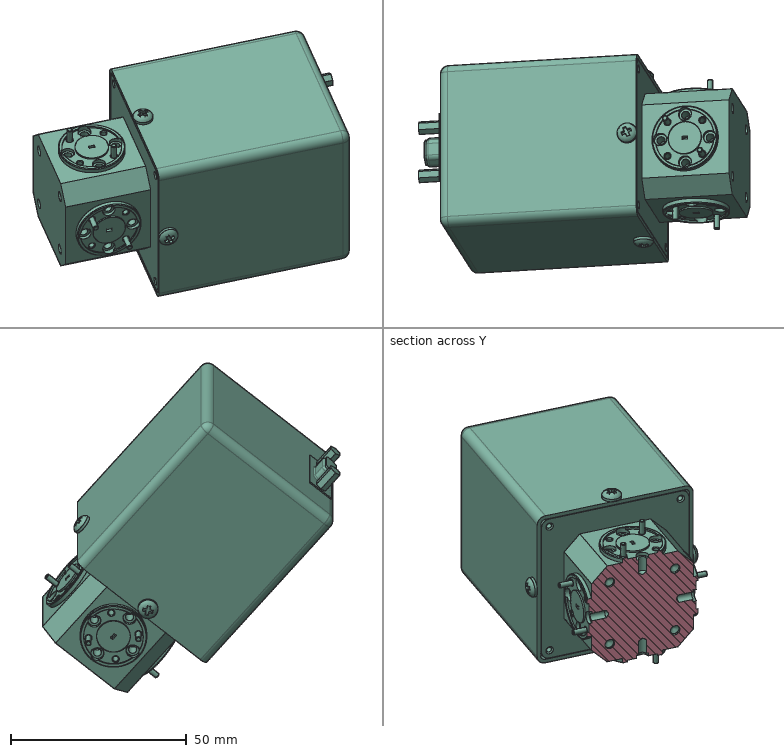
import cadquery as cq
import math

SIDES = (0, 90, 180, 270)

overall_length = 89.37

BOLT_ANGLES = (0, 90, 180, 270)
DOWEL_ANGLES = (45, 225)
DOWEL_HOLE_ANGLES = (135, 315)

cover_size = 48.26
cover_length = 57.25
cover_radius = 2.5
wall = 1.15
cavity_radius = cover_radius - wall

plate_gap = 0.2
plate_size = cover_size - 2 * (wall + plate_gap)
plate_thickness = 5.0
plate_radius = 2.3
plate_hole_diameter = 1.5
plate_hole_chamfer = 0.4
plate_hole_spacing = 40.6

block_size = 31.6
block_length = 25.3
block_chamfer = 4.85
mount_hole_diameter = 2.8
mount_hole_spacing = 20.2
mount_hole_depth = 6.0
drill_point_angle = 118

flange_y = -12.7
flange_diameter = 19.05
flange_height = 1.4
flange_chamfer = 0.25
flange_recess_depth = 0.5
recess_outer_diameter = 17.0
recess_inner_diameter = 9.6
bolt_circle_radius = 7.14
flange_bolt_diameter = 2.3
flange_bolt_depth = 6.0
counterbore_diameter = 3.7
counterbore_depth = 1.5
dowel_diameter = 1.56
dowel_length = 3.5
dowel_chamfer = 0.2
dowel_hole_diameter = 1.6
dowel_hole_chamfer = 0.25
dowel_hole_depth = 4.0
waveguide_width = 0.83
waveguide_length = 1.65
waveguide_depth = 1.5

screw_y = 2.55
screw_head_diameter = 5.7
screw_head_height = 1.96
screw_head_band = 0.8
screw_top_diameter = 2.0
screw_shank_diameter = 2.8
screw_shank_length = 6.0
cross_length = 2.9
cross_width = 0.9
cross_depth = 1.0
cross_angle = 25

connector_x = -18.05
connector_flange_width = 8.0
connector_flange_length = 19.8
connector_flange_thickness = 0.35
shell_corner_radius = 1.55
shell_core_depth = 1.64
shell_core_narrow = 3.44
shell_core_wide = 5.44
shell_shoulder = 4.6
shell_edge_radius = 0.8
shell_base_radius = 0.35
insert_inset = 0.5
connector_height = 5.1
post_spacing = 14.4
post_across_flats = 3.3
post_height = overall_length - block_length - cover_length - connector_flange_thickness


def square_bar(size, y_start, y_end):
    """A square bar centred on the Y axis."""
    return cq.Workplane("XY").box(size, y_end - y_start, size).translate((0, (y_start + y_end) / 2, 0))


def square_pattern(spacing):
    half = spacing / 2
    return [(x, z) for x in (-half, half) for z in (-half, half)]


def drilled_hole(diameter, depth):
    """A round cutter along -Z from Z = 0, ending in a drill point."""
    radius = diameter / 2
    point = radius / math.tan(math.radians(drill_point_angle / 2))
    return (
        cq.Workplane("XZ")
        .polyline([(0, 0), (radius, 0), (radius, -depth), (0, -depth - point)])
        .close()
        .revolve(360, (0, 0, 0), (0, 1, 0))
    )


def countersink(hole_diameter, chamfer):
    """A 45 degree cone along -Z from Z = 0 that breaks the edge of a round hole."""
    rim = hole_diameter / 2 + chamfer
    return cq.Workplane("XY").circle(rim).workplane(offset=-chamfer).circle(rim - chamfer).loft()


def turned(shape, angle):
    """The shape turned about the Y axis."""
    return shape.rotate((0, 0, 0), (0, 1, 0), angle)


def facing_front(shape):
    """The shape tipped so that its +Z end faces -Y."""
    return shape.rotate((0, 0, 0), (1, 0, 0), 90)


def on_bolt_circle(shape, angle):
    """The shape moved out to the bolt circle of the +Z flange, at an angle from +X."""
    return shape.translate((bolt_circle_radius, 0, 0)).rotate((0, 0, 0), (0, 0, 1), angle)


def make_flange():
    """The flange on the block's +Z side, with its two dowel pins."""
    disc = cq.Workplane("XY").circle(flange_diameter / 2).extrude(flange_height)
    disc = disc.faces(">Z").chamfer(flange_chamfer)
    recess = (
        cq.Workplane("XY", origin=(0, 0, flange_height))
        .circle(recess_outer_diameter / 2)
        .circle(recess_inner_diameter / 2)
        .extrude(-flange_recess_depth)
    )
    flange = disc.cut(recess)
    dowel = (
        cq.Workplane("XY")
        .circle(dowel_diameter / 2)
        .extrude(flange_height + dowel_length)
        .faces(">Z")
        .chamfer(dowel_chamfer)
    )
    dowel_seat = countersink(dowel_hole_diameter, dowel_hole_chamfer)
    dowel_seat = dowel_seat.translate((0, 0, flange_height - flange_recess_depth))
    for angle in DOWEL_ANGLES:
        flange = flange.cut(on_bolt_circle(dowel_seat, angle))
        flange = flange.union(on_bolt_circle(dowel, angle))
    return flange.translate((0, flange_y, block_size / 2))


def make_flange_holes():
    """Cutter for the bolt holes, dowel holes and waveguide opening of the +Z flange."""
    cutter = cq.Workplane("XY").rect(waveguide_width, waveguide_length).extrude(-waveguide_depth)
    bolt_hole = drilled_hole(flange_bolt_diameter, flange_bolt_depth)
    counterbore = cq.Workplane("XY").circle(counterbore_diameter / 2).extrude(-counterbore_depth)
    bolt_hole = bolt_hole.union(counterbore)
    for angle in BOLT_ANGLES:
        cutter = cutter.union(on_bolt_circle(bolt_hole, angle))
    dowel_hole = drilled_hole(dowel_hole_diameter, dowel_hole_depth)
    dowel_hole = dowel_hole.union(countersink(dowel_hole_diameter, dowel_hole_chamfer))
    dowel_hole = dowel_hole.translate((0, 0, -flange_recess_depth))
    for angle in DOWEL_HOLE_ANGLES:
        cutter = cutter.union(on_bolt_circle(dowel_hole, angle))
    return cutter.translate((0, flange_y, block_size / 2 + flange_height))


def make_shank():
    """Screw shank on the +Z side, reaching inward from the cover's outer face."""
    return (
        cq.Workplane("XY", origin=(0, screw_y, cover_size / 2))
        .circle(screw_shank_diameter / 2)
        .extrude(-screw_shank_length)
    )


def make_cover():
    cover = square_bar(cover_size, 0, cover_length)
    cover = cover.edges("|Y").fillet(cover_radius)
    cover = cover.faces(">Y").edges().fillet(cover_radius)
    cavity = square_bar(cover_size - 2 * wall, 0, cover_length - wall)
    cavity = cavity.edges("|Y").fillet(cavity_radius)
    cavity = cavity.faces(">Y").edges().fillet(cavity_radius)
    cover = cover.cut(cavity)
    for angle in SIDES:
        cover = cover.cut(turned(make_shank(), angle))
    return cover


def make_body():
    """Mounting plate, waveguide block and the four flanges."""
    plate = square_bar(plate_size, 0, plate_thickness).edges("|Y").fillet(plate_radius)
    plate_hole = cq.Workplane("XY").circle(plate_hole_diameter / 2).extrude(-plate_thickness)
    plate_hole = plate_hole.union(countersink(plate_hole_diameter, plate_hole_chamfer))
    for x, z in square_pattern(plate_hole_spacing):
        plate = plate.cut(facing_front(plate_hole).translate((x, 0, z)))
    block = square_bar(block_size, -block_length, 0).edges("|Y").chamfer(block_chamfer)
    body = plate.union(block)
    mount_hole = drilled_hole(mount_hole_diameter, mount_hole_depth)
    for x, z in square_pattern(mount_hole_spacing):
        body = body.cut(facing_front(mount_hole).translate((x, -block_length, z)))
    for angle in SIDES:
        body = body.union(turned(make_flange(), angle))
        body = body.cut(turned(make_flange_holes(), angle))
        body = body.cut(turned(make_shank(), angle))
    return body


def make_screw():
    """Cross-recessed pan-head screw on the +Z side."""
    rim = screw_head_diameter / 2
    top = screw_top_diameter / 2
    dome_height = screw_head_height - screw_head_band
    dome_radius = ((rim - top) ** 2 + dome_height**2) / (2 * dome_height)
    half_sweep = math.asin((rim - top) / dome_radius) / 2
    dome_mid = (
        top + dome_radius * math.sin(half_sweep),
        screw_head_height - dome_radius * (1 - math.cos(half_sweep)),
    )
    head = (
        cq.Workplane("XZ")
        .lineTo(rim, 0)
        .lineTo(rim, screw_head_band)
        .threePointArc(dome_mid, (top, screw_head_height))
        .lineTo(0, screw_head_height)
        .close()
        .revolve(360, (0, 0, 0), (0, 1, 0))
    )
    cross = (
        cq.Workplane("XY", origin=(0, 0, screw_head_height))
        .rect(cross_length, cross_width)
        .extrude(-cross_depth)
    )
    cross = cross.union(cross.rotate((0, 0, 0), (0, 0, 1), 90))
    cross = cross.rotate((0, 0, 0), (0, 0, 1), cross_angle)
    return head.cut(cross).translate((0, screw_y, cover_size / 2)).union(make_shank())


def shell_outline(inset):
    """The connector's D outline, narrow side to -X, shrunk by the inset."""
    half_depth = shell_core_depth / 2
    return (
        cq.Workplane("XZ")
        .polyline([
            (-half_depth, -shell_core_narrow / 2),
            (half_depth, -shell_core_wide / 2),
            (half_depth, shell_core_wide / 2),
            (-half_depth, shell_core_narrow / 2),
        ])
        .close()
        .offset2D(shell_corner_radius - inset)
    )


def make_connector():
    flange = (
        cq.Workplane("XZ")
        .rect(connector_flange_width, connector_flange_length)
        .extrude(-connector_flange_thickness)
    )
    shell = shell_outline(0).extrude(-shell_shoulder)
    shell = shell.faces(">Y").edges().fillet(shell_edge_radius)
    connector = flange.union(shell)
    shell_base = cq.selectors.BoxSelector(
        (-connector_flange_width / 2 + shell_base_radius, 0, -shell_core_wide),
        (connector_flange_width / 2 - shell_base_radius, shell_shoulder / 4, shell_core_wide),
    )
    connector = connector.edges(shell_base).fillet(shell_base_radius)
    insert = shell_outline(insert_inset).extrude(-connector_height)
    connector = connector.union(insert)
    return connector.translate((connector_x, cover_length, 0))


def make_post(z):
    """Hexagonal jack post on the connector's flange, two of its corners on the Z line."""
    across_corners = post_across_flats / math.cos(math.radians(30))
    return (
        cq.Workplane("XZ")
        .polygon(6, across_corners)
        .extrude(-post_height)
        .rotate((0, 0, 0), (0, 1, 0), 90)
        .translate((connector_x, cover_length + connector_flange_thickness, z))
    )


cover = make_cover()
body = make_body()
screws = [turned(make_screw(), angle) for angle in SIDES]
connector = make_connector()
posts = [make_post(z) for z in (-post_spacing / 2, post_spacing / 2)]

result = cq.Compound.makeCompound([
    cover.val(),
    body.val(),
    *[screw.val() for screw in screws],
    connector.val(),
    *[post.val() for post in posts],
])